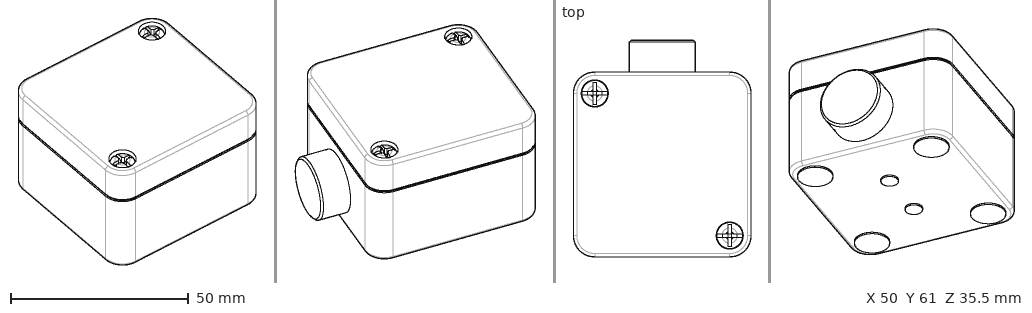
import cadquery as cq
import math

width = 50.0
depth = 52.05
corner_radius = 6.05
edge_round = 1.0
enclosure_height = 35.0
lid_height = 10.0
seam_gap = 0.75
seam_inset = 0.5
base_height = enclosure_height - lid_height - seam_gap

foot_height = 0.5
corner_foot_diameter = 10.0
corner_foot_x = 18.0
corner_foot_y = 19.0
center_foot_diameter = 5.0
center_foot_y = 8.1

gland_diameter = 18.6
overall_depth = 61.0
gland_length = overall_depth - depth
gland_chamfer = 0.6
gland_z = 11.95

recess_diameter = 7.6
head_diameter = 7.3
head_height = 3.0
head_sink = 0.4
recess_depth = head_height + head_sink
head_flat_diameter = 4.3
head_round = (head_diameter - head_flat_diameter) / 2
screw_x = width / 2 - corner_radius
screw_y = depth / 2 - corner_radius
screw_places = [(-screw_x, screw_y), (screw_x, -screw_y)]

drive_width = 1.0
slot_depth = 1.2
cross_depth = 2.5
cross_top_length = 7.2
cross_center_side = 2.25


def rounded_block(block_width, block_depth, height, radius, bottom_z):
    """Upright block with rounded vertical corners."""
    block = cq.Workplane("XY", origin=(0, 0, bottom_z)).rect(block_width, block_depth)
    return block.extrude(height).edges("|Z").fillet(radius)


def make_feet():
    """Four corner feet and two central feet, reaching down from the base underside."""
    underside = cq.Workplane("XY")
    corner_feet = (
        underside.rect(2 * corner_foot_x, 2 * corner_foot_y, forConstruction=True)
        .vertices()
        .circle(corner_foot_diameter / 2)
        .extrude(-foot_height)
    )
    center_feet = (
        underside.pushPoints([(0, center_foot_y), (0, -center_foot_y)])
        .circle(center_foot_diameter / 2)
        .extrude(-foot_height)
    )
    return corner_feet.union(center_feet)


def make_gland():
    """Cable gland boss with a chamfered outer end."""
    wall = cq.Workplane("XZ", origin=(0, depth / 2, gland_z))
    return wall.circle(gland_diameter / 2).extrude(-gland_length).faces(">Y").chamfer(gland_chamfer)


def make_base():
    """Base with the inset seam neck that carries the lid."""
    body = rounded_block(width, depth, base_height, corner_radius, 0)
    body = body.faces("<Z").edges().fillet(edge_round)
    neck = rounded_block(
        width - 2 * seam_inset,
        depth - 2 * seam_inset,
        seam_gap,
        corner_radius - seam_inset,
        base_height,
    )
    return body.union(neck).union(make_gland()).union(make_feet())


def make_lid():
    """Lid with a round recess for each screw head."""
    lid = rounded_block(width, depth, lid_height, corner_radius, enclosure_height - lid_height)
    lid = lid.faces(">Z").edges().fillet(edge_round)
    recesses = (
        cq.Workplane("XY", origin=(0, 0, enclosure_height))
        .pushPoints(screw_places)
        .circle(recess_diameter / 2)
        .extrude(-recess_depth)
    )
    return lid.cut(recesses)


def make_cross():
    """Cross drive: a square funnel limited to two crossing bars with bevelled inner corners."""
    floor = cq.Workplane("XY", origin=(0, 0, head_height - cross_depth))
    side_slope = math.degrees(math.atan((cross_top_length - drive_width) / 2 / cross_depth))
    funnel = floor.rect(drive_width, drive_width).extrude(cross_depth, taper=-side_slope)
    bar_x = floor.rect(cross_top_length, drive_width).extrude(cross_depth)
    bar_y = floor.rect(drive_width, cross_top_length).extrude(cross_depth)
    diamond = floor.transformed(rotate=(0, 0, 45)).rect(cross_center_side, cross_center_side)
    return funnel.intersect(bar_x.union(bar_y).union(diamond.extrude(cross_depth)))


def make_screw(x, y):
    """Round-edged screw head resting on its recess floor."""
    head = cq.Workplane("XY").circle(head_diameter / 2).extrude(head_height)
    head = head.faces(">Z").edges().fillet(head_round)
    slot = cq.Workplane("XY", origin=(0, 0, head_height - slot_depth))
    slot = slot.rect(head_diameter, drive_width).extrude(slot_depth)
    head = head.cut(slot).cut(make_cross())
    return head.translate((x, y, enclosure_height - recess_depth))


base = make_base()
lid = make_lid()
screws = [make_screw(x, y) for x, y in screw_places]

result = cq.Compound.makeCompound([base.val(), lid.val(), *[screw.val() for screw in screws]])